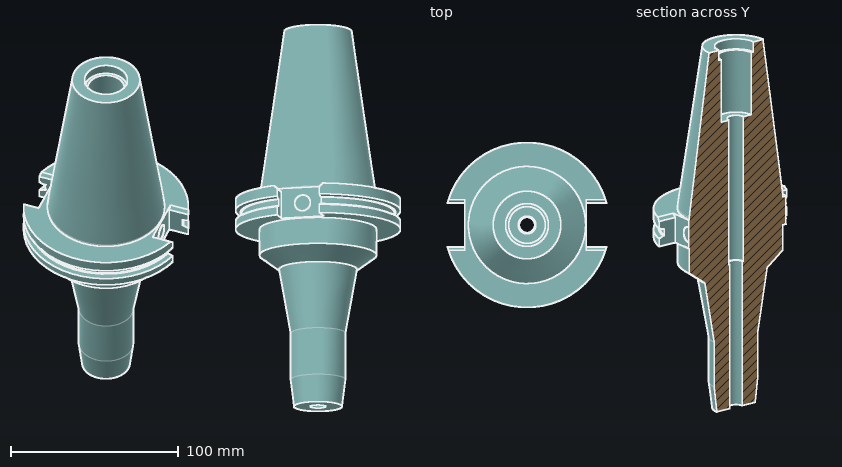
import cadquery as cq

total_height = 228.5
nose_cone_top = 16.5
shank_top = 44.8
neck_top = 83.5
shoulder_top = 92.1
flange_bottom = 108.0
flange_top = 126.0
gauge_height = 127.3

nose_radius = 14.5
shank_radius = 16.5
neck_radius = 23.3
body_radius = 35.0
flange_diameter = 98.5
flange_radius = flange_diameter / 2
taper_ratio = 7 / 24
taper_end_radius = body_radius - (total_height - gauge_height) * taper_ratio / 2

groove_floor_radius = 45.5
groove_lip_radius = 46.5
groove_bottom = 113.0
groove_top = 119.3
groove_flank_height = 1.1

slot_width = 26.0
left_slot_floor = 37.3
right_slot_floor = 35.5
slot_chamfer = 2.0
dimple_radius = 4.8
dimple_depth = 0.2
dimple_height = 116.5

counterbore_radius = 12.8
counterbore_depth = 6.5
socket_radius = 11.0
socket_depth = 45.7
passage_radius = 5.3
passage_depth = 137.2
through_radius = 4.5


def make_body():
    """Revolve the nose, shank, neck, flange and taper as one profile."""
    profile = [
        (0, 0),
        (nose_radius, 0),
        (shank_radius, nose_cone_top),
        (shank_radius, shank_top),
        (neck_radius, neck_top),
        (body_radius, shoulder_top),
        (body_radius, flange_bottom),
        (flange_radius, flange_bottom),
        (flange_radius, groove_bottom),
        (groove_lip_radius, groove_bottom + groove_flank_height),
        (groove_floor_radius, groove_bottom + groove_flank_height),
        (groove_floor_radius, groove_top - groove_flank_height),
        (groove_lip_radius, groove_top - groove_flank_height),
        (flange_radius, groove_top),
        (flange_radius, flange_top),
        (body_radius, flange_top),
        (body_radius, gauge_height),
        (taper_end_radius, total_height),
        (0, total_height),
    ]
    return cq.Workplane("XZ").polyline(profile).close().revolve(360, (0, 0), (0, 1))


def make_bore():
    """Counterbore, socket, passage and through hole along the axis."""
    top = cq.Workplane("XY").workplane(offset=total_height)
    through = top.circle(through_radius).extrude(-total_height)
    passage = top.circle(passage_radius).extrude(-passage_depth)
    socket = top.circle(socket_radius).extrude(-socket_depth)
    counterbore = top.circle(counterbore_radius).extrude(-counterbore_depth)
    return through.union(passage).union(socket).union(counterbore)


def make_drive_slot(side, floor_distance):
    """Drive slot with chamfered top edges and a shallow round dimple; side is -1 or +1."""
    half_width = slot_width / 2
    half_mouth = half_width + slot_chamfer
    outline = [
        (-half_width, flange_bottom),
        (half_width, flange_bottom),
        (half_width, flange_top - slot_chamfer),
        (half_mouth, flange_top),
        (-half_mouth, flange_top),
        (-half_width, flange_top - slot_chamfer),
    ]
    floor = cq.Workplane("YZ").workplane(offset=side * floor_distance)
    slot = floor.polyline(outline).close().extrude(side * (flange_radius - floor_distance))
    dimple = floor.center(0, dimple_height).circle(dimple_radius).extrude(-side * dimple_depth)
    return slot.union(dimple)


result = make_body().cut(make_bore())
for side, floor_distance in ((-1, left_slot_floor), (1, right_slot_floor)):
    result = result.cut(make_drive_slot(side, floor_distance))